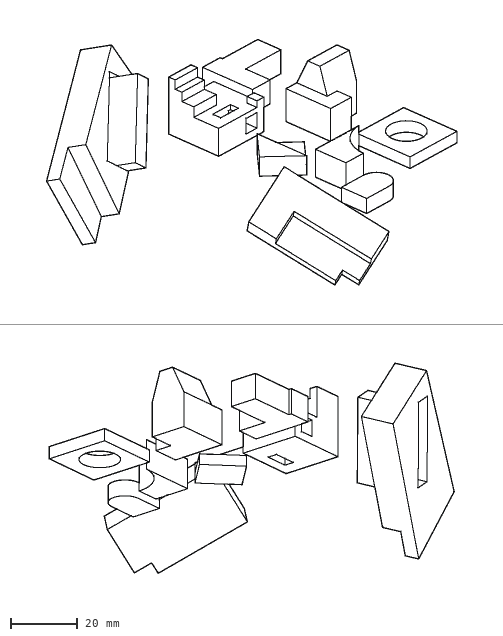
import cadquery as cq
import math



def box(x_size, y_size, z_size, corner=(0, 0, 0)):
    """Box that grows in +X, +Y and +Z from the given corner."""
    return cq.Workplane("XY").box(x_size, y_size, z_size, centered=False).translate(corner)


def tilted(body, roll, pitch, yaw, place):
    """Turn a body about X, then Y, then Z, and carry its local origin to the given place."""
    origin = (0, 0, 0)
    body = body.rotate(origin, (1, 0, 0), roll)
    body = body.rotate(origin, (0, 1, 0), pitch)
    body = body.rotate(origin, (0, 0, 1), yaw)
    return body.translate(place)


ANGLE_HEIGHT = 8.3
ANGLE_BAR_LENGTH = 20.2
ANGLE_BAR_WIDTH = 7.9
ANGLE_STEM_LENGTH = 15.8
ANGLE_STEM_WIDTH = 9.4
ANGLE_STEM_INSET = 1.0
ANGLE_PLACE = (-55.1, 26.2, 0)


def make_angle_block():
    bar = box(ANGLE_BAR_LENGTH, ANGLE_BAR_WIDTH, ANGLE_HEIGHT)
    stem_corner = (ANGLE_STEM_INSET, ANGLE_BAR_WIDTH, 0)
    stem = box(ANGLE_STEM_WIDTH, ANGLE_STEM_LENGTH, ANGLE_HEIGHT, stem_corner)
    return bar.union(stem).translate(ANGLE_PLACE)


RIDGE_BASE_LENGTH = 18.1
RIDGE_BASE_DEPTH = 18.0
RIDGE_BASE_HEIGHT = 11.4
RIDGE_SHORT_LEG_DEPTH = 9.2
RIDGE_WIDTH = 12.3
RIDGE_DEPTH = 13.1
RIDGE_HEIGHT = 9.2
RIDGE_TOP_START = 4.4
RIDGE_TOP_WIDTH = 5.0
RIDGE_PLACE = (-24.2, 29.3, 0)


def make_ridge_block():
    short_leg = box(RIDGE_BASE_LENGTH, RIDGE_SHORT_LEG_DEPTH, RIDGE_BASE_HEIGHT)
    deep_leg = box(RIDGE_WIDTH, RIDGE_BASE_DEPTH, RIDGE_BASE_HEIGHT)
    ridge_top = RIDGE_BASE_HEIGHT + RIDGE_HEIGHT
    ridge = (
        cq.Workplane("XZ", origin=(0, RIDGE_BASE_DEPTH, 0))
        .polyline([
            (0, RIDGE_BASE_HEIGHT),
            (RIDGE_WIDTH, RIDGE_BASE_HEIGHT),
            (RIDGE_TOP_START + RIDGE_TOP_WIDTH, ridge_top),
            (RIDGE_TOP_START, ridge_top),
        ])
        .close()
        .extrude(RIDGE_DEPTH)
    )
    return short_leg.union(deep_leg).union(ridge).translate(RIDGE_PLACE)


RING_LENGTH = 21.5
RING_DEPTH = 21.0
RING_THICKNESS = 4.0
RING_HOLE_DIAMETER = 12.5
RING_HOLE_CENTER = (10.2, 11.0)
RING_PLACE = (1.0, 33.0, 0)


def make_ring_plate():
    hole = cq.Workplane("XY").center(*RING_HOLE_CENTER).circle(RING_HOLE_DIAMETER / 2).extrude(RING_THICKNESS)
    return box(RING_LENGTH, RING_DEPTH, RING_THICKNESS).cut(hole).translate(RING_PLACE)


COVE_LENGTH = 12.3
COVE_FOOT_DEPTH = 7.9
COVE_TIP_RISE = 11.5
COVE_HEIGHT = 9.6
COVE_PLACE = (5.0, 10.2, 0)


def make_cove_block():
    radius = (COVE_LENGTH**2 + COVE_TIP_RISE**2) / (2 * COVE_TIP_RISE)
    sweep = math.asin(COVE_LENGTH / radius)
    middle = (
        COVE_LENGTH - radius * math.sin(sweep / 2),
        COVE_FOOT_DEPTH + radius * (1 - math.cos(sweep / 2)),
    )
    tip = (0, COVE_FOOT_DEPTH + COVE_TIP_RISE)
    return (
        cq.Workplane("XY")
        .lineTo(COVE_LENGTH, 0)
        .lineTo(COVE_LENGTH, COVE_FOOT_DEPTH)
        .threePointArc(middle, tip)
        .close()
        .extrude(COVE_HEIGHT)
        .translate(COVE_PLACE)
    )


ARCH_WIDTH = 10.2
ARCH_STRAIGHT_DEPTH = 10.0
ARCH_HEIGHT = 5.2
ARCH_PLACE = (21.0, 4.0, 0)


def make_arched_block():
    arch_radius = ARCH_WIDTH / 2
    return (
        cq.Workplane("XY")
        .lineTo(ARCH_WIDTH, 0)
        .lineTo(ARCH_WIDTH, ARCH_STRAIGHT_DEPTH)
        .threePointArc((arch_radius, ARCH_STRAIGHT_DEPTH + arch_radius), (0, ARCH_STRAIGHT_DEPTH))
        .close()
        .extrude(ARCH_HEIGHT)
        .translate(ARCH_PLACE)
    )


DIAMOND_HALF_DIAGONAL = 10.0
DIAMOND_FRONT_HEIGHT = 6.7
DIAMOND_BACK_HEIGHT = 3.5
DIAMOND_CENTER = (-1.2, 2.0, 5.6)


def make_diamond_half(apex_y, height):
    corners = [(-DIAMOND_HALF_DIAGONAL, 0), (DIAMOND_HALF_DIAGONAL, 0), (0, apex_y)]
    return cq.Workplane("XY").polyline(corners).close().extrude(height)


def make_diamond_block():
    front_half = make_diamond_half(-DIAMOND_HALF_DIAGONAL, DIAMOND_FRONT_HEIGHT)
    back_half = make_diamond_half(DIAMOND_HALF_DIAGONAL, DIAMOND_BACK_HEIGHT)
    return front_half.union(back_half).translate(DIAMOND_CENTER)


STAIR_SIDE = 20.2
STAIR_BODY_HEIGHT = 9.6
STAIR_DEPTH = 10.0
STEPS = [(2.7, 19.7), (5.4, 16.5), (10.2, 13.2)]
KNOB_LENGTH = 4.0
KNOB_DEPTH = 3.1
KNOB_TOP = 11.9
SLOT_LENGTH = 7.9
SLOT_WIDTH = 3.2
SLOT_CORNER = (13.1, 5.2)
WINDOW_WIDTH = 4.8
WINDOW_HEIGHT = 5.4
WINDOW_CORNER = (12.3, 2.5)
STAIR_PLACE = (-45.2, 0.1, 0)


def make_stair_block():
    block = box(STAIR_SIDE, STAIR_SIDE, STAIR_BODY_HEIGHT)
    for step_end, step_top in STEPS:
        block = block.union(box(step_end, STAIR_DEPTH, step_top))
    knob_corner = (STAIR_SIDE - KNOB_LENGTH, STAIR_SIDE - KNOB_DEPTH, 0)
    block = block.union(box(KNOB_LENGTH, KNOB_DEPTH, KNOB_TOP, knob_corner))
    slot = box(SLOT_WIDTH, SLOT_LENGTH, STAIR_BODY_HEIGHT, (*SLOT_CORNER, 0))
    window = box(STAIR_SIDE, WINDOW_WIDTH, WINDOW_HEIGHT, (0, *WINDOW_CORNER))
    return block.cut(slot).cut(window).translate(STAIR_PLACE)


PLATE_CORNERS = [(0, 0), (49.0, 0), (54.9, 24.8), (2.4, 22.2)]
PLATE_THICKNESS = 11.0
PLATE_THIN_END = 4.7
PLATE_STEP_START = (37.2, 0)
PLATE_STEP_END_X = 45.5
PLATE_SLOT_CORNER = (6.4, 7.4)
PLATE_SLOT_ANGLE = 20.5
PLATE_SLOT_LENGTH = 28.0
PLATE_SLOT_WIDTH = 5.4
RIB_WIDTH = 6.2
RIB_HEIGHT = 6.5
PLATE_ROLL = -66.1
PLATE_PITCH = 25.1
PLATE_YAW = -61.2
PLATE_PLACE = (-66.9, -15.3, 27.3)


def make_ribbed_plate():
    plate = cq.Workplane("XY").polyline(PLATE_CORNERS).close().extrude(PLATE_THICKNESS)

    _, near_corner, far_corner, far_start = PLATE_CORNERS
    far_slope = (far_corner[1] - far_start[1]) / (far_corner[0] - far_start[0])
    step_end = (PLATE_STEP_END_X, far_start[1] + far_slope * (PLATE_STEP_END_X - far_start[0]))
    step_cut = (
        cq.Workplane("XY", origin=(0, 0, PLATE_THIN_END))
        .polyline([PLATE_STEP_START, near_corner, far_corner, step_end])
        .close()
        .extrude(PLATE_THICKNESS - PLATE_THIN_END)
    )

    slot = box(PLATE_SLOT_LENGTH, PLATE_SLOT_WIDTH, PLATE_THICKNESS, (0, -PLATE_SLOT_WIDTH, 0))
    rib = box(PLATE_SLOT_LENGTH, RIB_WIDTH, RIB_HEIGHT, (0, 0, PLATE_THICKNESS))
    slot, rib = [
        tool.rotate((0, 0, 0), (0, 0, 1), PLATE_SLOT_ANGLE).translate((*PLATE_SLOT_CORNER, 0))
        for tool in (slot, rib)
    ]
    plate = plate.cut(step_cut).cut(slot).union(rib)
    return tilted(plate, PLATE_ROLL, PLATE_PITCH, PLATE_YAW, PLATE_PLACE)


HOOK_LENGTH = 37.1
HOOK_HEIGHT = 20.1
HOOK_THICKNESS = 12.3
HOOK_FRONT_THICKNESS = 6.3
HOOK_FRONT_LEG = 9.8
HOOK_FRONT_ARM = 10.0
HOOK_BACK_LEG = 31.0
HOOK_BACK_ARM = 16.2
HOOK_ROLL = 42.3
HOOK_PITCH = 24.5
HOOK_YAW = 20.8
HOOK_PLACE = (35.3, -37.5, 35.2)


def make_hook_layer(leg, arm, thickness, top_z):
    """L-shaped layer hanging below y = 0, its leg at the start of its arm."""
    arm_box = box(HOOK_LENGTH, arm, thickness, (0, -arm, top_z - thickness))
    leg_box = box(leg, HOOK_HEIGHT, thickness, (0, -HOOK_HEIGHT, top_z - thickness))
    return arm_box.union(leg_box)


def make_hooked_bar():
    front = make_hook_layer(HOOK_FRONT_LEG, HOOK_FRONT_ARM, HOOK_FRONT_THICKNESS, 0)
    back_thickness = HOOK_THICKNESS - HOOK_FRONT_THICKNESS
    back = make_hook_layer(HOOK_BACK_LEG, HOOK_BACK_ARM, back_thickness, -HOOK_FRONT_THICKNESS)
    return tilted(front.union(back), HOOK_ROLL, HOOK_PITCH, HOOK_YAW, HOOK_PLACE)


bodies = [
    make_angle_block(),
    make_ridge_block(),
    make_ring_plate(),
    make_cove_block(),
    make_arched_block(),
    make_diamond_block(),
    make_stair_block(),
    make_ribbed_plate(),
    make_hooked_bar(),
]

result = cq.Compound.makeCompound([body.solids().val() for body in bodies])